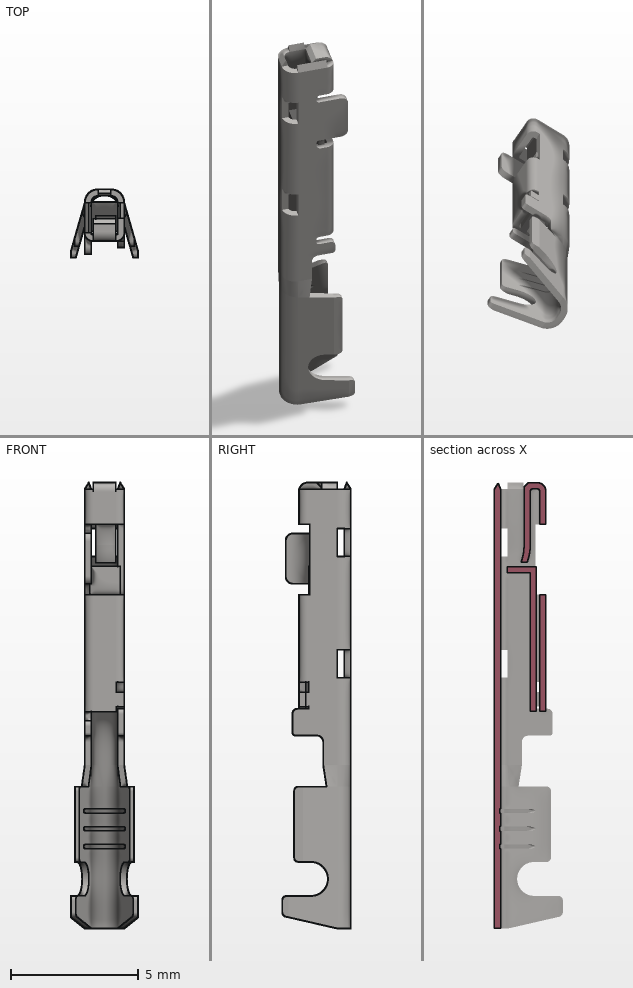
import cadquery as cq
import math


SHEET = 0.26
REACH = 5.0

INSULATION_TOP = 1.29
WIRE_BOTTOM = 2.62
CRIMP_TOP = 5.59
NECK_BOTTOM = 6.43
LOW_TAB_BOTTOM = 7.59
LOW_TAB_TOP = 8.17
RIGHT_TAB_TOP = 8.65
FRONT_BOTTOM = 8.54
FRONT_TOP = 13.14
BIG_TAB_BOTTOM = 13.56
BIG_TAB_TOP = 15.55
COLLAR_BOTTOM = 15.90
BOX_TOP = 17.285
TOTAL_LENGTH = 17.55

BOX_HALF = 0.78
BOX_DEPTH = 2.04
BACK_RADIUS = 0.53
FRONT_RADIUS = 0.32
WALL_DEPTH = BOX_DEPTH - FRONT_RADIUS
BOX_INNER_HALF = BOX_HALF - SHEET
BOX_FLAT_HALF = BOX_HALF - BACK_RADIUS
NECK_DEPTH = 1.09
NOTCH_DEPTH = 1.27
BIG_TAB_DEPTH = 2.566
RIGHT_TAB_DEPTH = 2.30
RELIEF_RADIUS = 0.12
TAB_RADIUS = 0.20
BIG_TAB_RADIUS = 0.30
NECK_RADIUS = 0.25

LEAN = 16.0
CRIMP_FLAT_HALF = 0.08
CRIMP_RADIUS = 0.723
TOTAL_DEPTH = 2.70
WIRE_DEPTH = 2.235
TOTAL_HALF = 1.325
WIRE_HALF = 1.165
SERRATION_LEVELS = (3.23, 3.93, 4.63)
CRIMP_BEND_DEPTH = CRIMP_RADIUS * (1 - math.sin(math.radians(LEAN)))


def block(x0, x1, depth0, depth1, z0, z1):
    """Axis-aligned block between the given limits."""
    return cq.Workplane("XY").box(x1 - x0, depth1 - depth0, z1 - z0, centered=False).translate(
        (x0, -depth1, z0)
    )


def rounded_side(corners, x0, x1):
    """Side outline of (depth, z, corner radius) points, extruded from x0 to x1."""
    path = cq.Workplane("YZ", origin=(x0, 0, 0))
    started = False
    for index, (depth, z, radius) in enumerate(corners):
        corner = cq.Vector(-depth, z, 0)
        if radius == 0:
            stops = [corner]
        else:
            before = corners[index - 1]
            after = corners[(index + 1) % len(corners)]
            back = (cq.Vector(-before[0], before[1], 0) - corner).normalized()
            ahead = (cq.Vector(-after[0], after[1], 0) - corner).normalized()
            half_angle = back.getAngle(ahead) / 2
            setback = radius / math.tan(half_angle)
            bisector = (back + ahead).normalized()
            middle = corner + bisector * (radius / math.sin(half_angle) - radius)
            stops = [corner + back * setback, middle, corner + ahead * setback]
        first = stops[0].toTuple()[:2]
        path = path.lineTo(*first) if started else path.moveTo(*first)
        started = True
        if radius > 0:
            path = path.threePointArc(stops[1].toTuple()[:2], stops[2].toTuple()[:2])
    return path.close().extrude(x1 - x0)


def channel_half(flat_half, radius, lean, depth):
    """Outer side of a channel section as (flat end, bend middle, bend end, tip)."""
    sweep = math.radians(90 - lean)
    bend = [
        (flat_half + radius * math.sin(angle), -radius * (1 - math.cos(angle)))
        for angle in (0, sweep / 2, sweep)
    ]
    run = depth + bend[2][1]
    tip = (bend[2][0] + run * math.tan(math.radians(lean)), -depth)
    return bend + [tip]


def channel_section(plane, flat_half, radius, lean, depth):
    """Closed sheet-metal channel: back flat, two bends and two straight walls."""
    outer = channel_half(flat_half, radius, lean, depth)
    inner = channel_half(flat_half, radius - SHEET, lean, depth - SHEET)
    inner = [(x, y - SHEET) for x, y in inner]

    def mirrored(point):
        return (-point[0], point[1])

    return (
        plane.moveTo(*mirrored(outer[0]))
        .lineTo(*outer[0])
        .threePointArc(outer[1], outer[2])
        .lineTo(*outer[3])
        .lineTo(*inner[3])
        .lineTo(*inner[2])
        .threePointArc(inner[1], inner[0])
        .lineTo(*mirrored(inner[0]))
        .threePointArc(mirrored(inner[1]), mirrored(inner[2]))
        .lineTo(*mirrored(inner[3]))
        .lineTo(*mirrored(outer[3]))
        .lineTo(*mirrored(outer[2]))
        .threePointArc(mirrored(outer[1]), mirrored(outer[0]))
        .close()
    )


def crimp_barrel():
    """Insulation wings and wire wings on one flared channel."""
    throat_depth = 0.905
    throat_flat = 0.002
    throat_radius = (WIRE_BOTTOM - INSULATION_TOP - throat_flat) / 2
    tip_radius = 0.18
    tip_bottom = 0.50
    outline = rounded_side(
        [
            (0, 0, 0),
            (CRIMP_BEND_DEPTH, 0, 0),
            (TOTAL_DEPTH, tip_bottom, tip_radius),
            (TOTAL_DEPTH, INSULATION_TOP, tip_radius),
            (throat_depth, INSULATION_TOP, throat_radius),
            (throat_depth, WIRE_BOTTOM, throat_radius),
            (WIRE_DEPTH, WIRE_BOTTOM, tip_radius),
            (WIRE_DEPTH, CRIMP_TOP, tip_radius),
            (0, CRIMP_TOP, 0),
        ],
        -REACH,
        REACH,
    )
    section = channel_section(cq.Workplane("XY"), CRIMP_FLAT_HALF, CRIMP_RADIUS, LEAN, TOTAL_DEPTH)
    wire_limit = block(-WIRE_HALF, WIRE_HALF, 0, REACH, INSULATION_TOP, CRIMP_TOP)
    insulation_limit = block(-TOTAL_HALF, TOTAL_HALF, 0, REACH, 0, INSULATION_TOP)
    return section.extrude(CRIMP_TOP).intersect(outline).intersect(wire_limit.union(insulation_limit))


def serration(z):
    """Shallow groove across the inside of the wire barrel at height z."""
    groove_depth = 0.04
    groove_half = 0.82
    groove_width = 0.17
    bowl = channel_half(CRIMP_FLAT_HALF, CRIMP_RADIUS - SHEET + groove_depth, LEAN, TOTAL_DEPTH)
    bowl = [(x, y - SHEET + groove_depth) for x, y in bowl]
    inside = (
        cq.Workplane("XY", origin=(0, 0, z - groove_width))
        .moveTo(0, bowl[0][1])
        .lineTo(*bowl[0])
        .threePointArc(bowl[1], bowl[2])
        .lineTo(*bowl[3])
        .lineTo(0, bowl[3][1])
        .close()
        .extrude(2 * groove_width)
    )
    inside = inside.union(inside.mirror("YZ"))
    slot = (
        cq.Workplane("XZ", origin=(0, 0, z))
        .slot2D(2 * groove_half, groove_width)
        .extrude(REACH)
    )
    return slot.intersect(inside)


def transition():
    """Neck blending the flared crimp barrel into the straight channel."""
    lower_depth = 0.96
    lower = channel_section(
        cq.Workplane("XY", origin=(0, 0, CRIMP_TOP)), CRIMP_FLAT_HALF, CRIMP_RADIUS, LEAN, lower_depth
    )
    upper = lower.workplane(offset=NECK_BOTTOM - CRIMP_TOP)
    return channel_section(upper, BOX_FLAT_HALF, BACK_RADIUS, 0, NECK_DEPTH).loft(ruled=True)


def channel_walls():
    """Back and side walls of the socket, each side cut to its own outline."""
    left = rounded_side(
        [
            (0, NECK_BOTTOM, 0),
            (NECK_DEPTH, NECK_BOTTOM, 0),
            (NECK_DEPTH, LOW_TAB_BOTTOM, NECK_RADIUS),
            (BOX_DEPTH, LOW_TAB_BOTTOM, RELIEF_RADIUS),
            (BOX_DEPTH, LOW_TAB_TOP, TAB_RADIUS),
            (NOTCH_DEPTH, LOW_TAB_TOP, RELIEF_RADIUS),
            (NOTCH_DEPTH, FRONT_BOTTOM, RELIEF_RADIUS),
            (WALL_DEPTH, FRONT_BOTTOM, 0),
            (WALL_DEPTH, FRONT_TOP, 0),
            (NOTCH_DEPTH, FRONT_TOP, TAB_RADIUS),
            (NOTCH_DEPTH, BIG_TAB_BOTTOM, RELIEF_RADIUS),
            (BIG_TAB_DEPTH, BIG_TAB_BOTTOM, BIG_TAB_RADIUS),
            (BIG_TAB_DEPTH, BIG_TAB_TOP, BIG_TAB_RADIUS),
            (NOTCH_DEPTH, BIG_TAB_TOP, RELIEF_RADIUS),
            (NOTCH_DEPTH, COLLAR_BOTTOM, RELIEF_RADIUS),
            (WALL_DEPTH, COLLAR_BOTTOM, 0),
            (WALL_DEPTH, BOX_TOP, 0),
            (0, BOX_TOP, 0),
        ],
        -REACH,
        0,
    )
    right = rounded_side(
        [
            (0, NECK_BOTTOM, 0),
            (NECK_DEPTH, NECK_BOTTOM, 0),
            (NECK_DEPTH, LOW_TAB_BOTTOM, NECK_RADIUS),
            (RIGHT_TAB_DEPTH, LOW_TAB_BOTTOM, RELIEF_RADIUS),
            (RIGHT_TAB_DEPTH, RIGHT_TAB_TOP, TAB_RADIUS),
            (NOTCH_DEPTH, RIGHT_TAB_TOP, 0),
            (NOTCH_DEPTH, BOX_TOP, 0),
            (0, BOX_TOP, 0),
        ],
        0,
        REACH,
    )
    channel = channel_section(
        cq.Workplane("XY", origin=(0, 0, NECK_BOTTOM)), BOX_FLAT_HALF, BACK_RADIUS, 0, BIG_TAB_DEPTH
    ).extrude(BOX_TOP - NECK_BOTTOM)
    return channel.intersect(left.union(right))


def front_band(z0, z1):
    """Front wall with its two corner bends, joined to the side walls."""
    outer = block(-BOX_HALF, BOX_HALF, 0, BOX_DEPTH, z0, z1).edges("|Z and <Y").fillet(FRONT_RADIUS)
    inner_depth = BOX_DEPTH - SHEET
    inner = block(-BOX_INNER_HALF, BOX_INNER_HALF, 0, inner_depth, z0, z1)
    inner = inner.edges("|Z and <Y").fillet(FRONT_RADIUS - SHEET)
    front_part = block(-REACH, REACH, NOTCH_DEPTH, REACH, z0, z1)
    return outer.cut(inner).intersect(front_part)


FLAP_DEPTH = 1.66
FLAP_TOP = 14.25
FLAP_WALL_DEPTH = 1.62
FLAP_LEFT = -0.58
FLAP_RIGHT = 0.615


def inner_flap():
    """Right side wall folded in behind the front wall, its top edge bent back as a stop shelf."""
    wall = block(BOX_INNER_HALF, BOX_HALF, NOTCH_DEPTH, FLAP_WALL_DEPTH, FRONT_BOTTOM, BOX_TOP)
    flap = block(FLAP_LEFT, FLAP_RIGHT, FLAP_DEPTH - SHEET, FLAP_DEPTH, FRONT_BOTTOM, FLAP_TOP)
    shelf_back = 0.50
    shelf = block(
        -BOX_INNER_HALF, BOX_INNER_HALF, shelf_back, FLAP_DEPTH - SHEET, FLAP_TOP - SHEET, FLAP_TOP
    )
    return wall.union(flap).union(shelf)


FOLD_HALF = 0.45
FOLD_RADIUS = 0.35
FOLD_START = TOTAL_LENGTH - FOLD_RADIUS


def contact_spring():
    """Front wall rolled over the mouth and returned inside as a contact spring."""
    spring_front = 1.43
    spring_back = spring_front - SHEET
    bend_z = 15.09
    tip_z = 14.40
    lead_in = 0.18
    curl_radius = 2.0
    curl_drop = bend_z - tip_z
    curl_shift = curl_radius - math.sqrt(curl_radius**2 - curl_drop**2)
    spring_left = -0.35
    inner_radius = FOLD_RADIUS - SHEET
    profile = (
        cq.Workplane("YZ", origin=(-FOLD_HALF, 0, 0))
        .moveTo(-BOX_DEPTH, COLLAR_BOTTOM)
        .lineTo(-BOX_DEPTH, FOLD_START)
        .radiusArc((-BOX_DEPTH + FOLD_RADIUS, TOTAL_LENGTH), FOLD_RADIUS)
        .lineTo(-spring_back - lead_in, TOTAL_LENGTH)
        .lineTo(-spring_back, TOTAL_LENGTH - lead_in)
        .lineTo(-spring_back, bend_z)
        .radiusArc((-spring_back + curl_shift, tip_z), -curl_radius)
        .lineTo(-spring_front + curl_shift, tip_z)
        .radiusArc((-spring_front, bend_z), curl_radius)
        .lineTo(-spring_front, FOLD_START)
        .radiusArc((-spring_front - inner_radius, TOTAL_LENGTH - SHEET), -inner_radius)
        .lineTo(-BOX_DEPTH + FOLD_RADIUS, TOTAL_LENGTH - SHEET)
        .radiusArc((-BOX_DEPTH + SHEET, FOLD_START), -inner_radius)
        .lineTo(-BOX_DEPTH + SHEET, COLLAR_BOTTOM)
        .close()
        .extrude(2 * FOLD_HALF)
    )
    return profile.cut(block(-REACH, spring_left, 0, WALL_DEPTH, 0, COLLAR_BOTTOM))


def ridge_profile(plane, outward):
    """Lead-in ridge on a wall edge; outward is the sign of the outer face direction."""
    crest = 0.16
    return (
        plane.moveTo(0, BOX_TOP)
        .lineTo(-outward * crest, TOTAL_LENGTH)
        .lineTo(-outward * SHEET, BOX_TOP)
        .close()
    )


def mouth_ridges():
    """Lead-in ridges along the mouth on the two side walls and the back wall."""
    right_end = 1.15
    side_ends = {-1: WALL_DEPTH, 1: right_end}
    ridges = ridge_profile(cq.Workplane("YZ", origin=(-BOX_FLAT_HALF, 0, 0)), 1)
    ridges = ridges.extrude(2 * BOX_FLAT_HALF)
    for side, end_depth in side_ends.items():
        plane = cq.Workplane("XZ", origin=(side * BOX_HALF, -BACK_RADIUS, 0))
        ridges = ridges.union(ridge_profile(plane, side).extrude(end_depth - BACK_RADIUS))
    return ridges


WINDOW_BOTTOMS = (9.87, 14.64)


def back_windows():
    """Openings through both back corners at two heights."""
    window_inner = 0.30
    window_depth = BACK_RADIUS
    window_height = 1.09
    cutters = cq.Workplane("XY")
    for z in WINDOW_BOTTOMS:
        for x0 in (-REACH, window_inner):
            x1 = x0 + REACH - window_inner
            cutters = cutters.add(block(x0, x1, 0, window_depth, z, z + window_height))
    return cutters.combine()


LOCK_BOTTOM = 8.73
LOCK_TOP = 9.30
LOCK_NOTCH_TOP = 9.70
LOCK_LEFT = BOX_HALF - FRONT_RADIUS


def lock_cut():
    """Clearance above and below the locking ear at the front right corner."""
    above = block(LOCK_LEFT, REACH, FLAP_DEPTH, REACH, LOCK_TOP, LOCK_NOTCH_TOP)
    below = block(LOCK_LEFT, REACH, FLAP_DEPTH, REACH, FRONT_BOTTOM, LOCK_BOTTOM)
    return above.union(below)


def lock_ear():
    """Straight ear of the front wall reaching over the right side wall."""
    return block(LOCK_LEFT, BOX_HALF, BOX_DEPTH - SHEET, BOX_DEPTH, LOCK_BOTTOM, LOCK_TOP)


barrel = crimp_barrel()
for groove_z in SERRATION_LEVELS:
    barrel = barrel.cut(serration(groove_z))

collar = front_band(COLLAR_BOTTOM, BOX_TOP)
collar = collar.cut(block(-FOLD_HALF, FOLD_HALF, WALL_DEPTH, REACH, COLLAR_BOTTOM, BOX_TOP))
front = front_band(FRONT_BOTTOM, FRONT_TOP).cut(lock_cut()).union(lock_ear())

result = (
    barrel.union(transition())
    .union(channel_walls().cut(back_windows()))
    .union(front)
    .union(collar)
    .union(inner_flap())
    .union(contact_spring())
    .union(mouth_ridges())
)